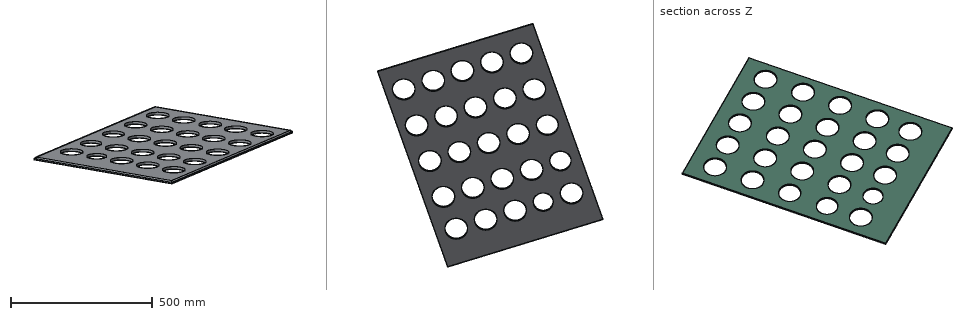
import cadquery as cq

width = 580.0
length = 790.0
thickness = 10.0
edge_chamfer = 5.0

pitch = 110.0
standard_diameter = 80.0
left_column_x = -216.0
top_row_y = 300.0


def evenly_spaced(first_x, y, count):
    """Standard holes at the common pitch, as (x, y, diameter)."""
    return [(first_x + i * pitch, y, standard_diameter) for i in range(count)]


top_row_offsets = [0.0, 0.0, 1.5, -1.5, 0.0]
holes = [
    (x, y + offset, diameter)
    for (x, y, diameter), offset in zip(evenly_spaced(left_column_x, top_row_y, 5), top_row_offsets)
]

holes += evenly_spaced(left_column_x, 155.0, 5)

third_row_y = 10.0
holes.append((-216.5, third_row_y, 77.5))
holes += evenly_spaced(-107.5, third_row_y, 4)

fourth_row_y = -135.0
holes.append((-217.0, fourth_row_y, 75.0))
holes += evenly_spaced(-110.0, fourth_row_y, 4)

front_row_y = -265.5
holes += evenly_spaced(left_column_x, front_row_y, 1)
holes.append((-110.0, front_row_y, 70.0))
holes += evenly_spaced(-5.0, front_row_y, 3)

plate = cq.Workplane("XY").box(width, length, thickness, centered=(True, True, False))
result = plate.faces(">Z").edges().chamfer(edge_chamfer)

for x, y, diameter in holes:
    cutter = cq.Workplane("XY").center(x, y).circle(diameter / 2).extrude(thickness)
    result = result.cut(cutter)